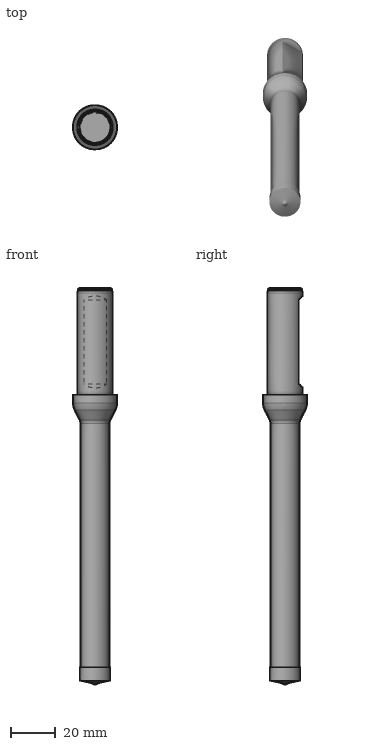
import cadquery as cq
import math

overall_length = 178.0
point_height = 2.0
head_top = 7.8
transition_bottom = 117.3
collar_bottom = 126.4
collar_top = 130.1

head_radius = 13.9 / 2
stem_radius = 13.2 / 2
collar_radius = 20.0 / 2
shank_radius = 16.0 / 2

pilot_radius = 2.8 / 2
pilot_height = 0.7

taper_angle = math.radians(27)
lower_arc_radius = 3.2

end_radius = 7.0
bevel_radius = 7.7
bevel_height = 0.7
land_bottom_depth = 1.5
shoulder_height = 2.3

flat_offset = 6.2
flat_bottom = 135.0
flat_top = 172.7


def make_head():
    """Drill head: a short cylinder with a shallow point and a pilot cone."""
    profile = (
        cq.Workplane("XZ")
        .moveTo(0, 0)
        .lineTo(pilot_radius, pilot_height)
        .lineTo(head_radius, point_height)
        .lineTo(head_radius, head_top)
        .lineTo(0, head_top)
        .close()
    )
    return profile.revolve(360, (0, 0, 0), (0, 1, 0))


def make_holder_blank():
    """Stem, transition, collar and round shank in one turned profile."""
    arc_width_ratio = 1 - math.cos(taper_angle)
    arc_height_ratio = math.sin(taper_angle)
    radius_drop = collar_radius - stem_radius
    transition_height = collar_bottom - transition_bottom
    slope = math.tan(taper_angle)
    arc_radius_sum = (transition_height * slope - radius_drop) / (arc_height_ratio * slope - arc_width_ratio)
    upper_arc_radius = arc_radius_sum - lower_arc_radius

    taper_bottom = (
        stem_radius + lower_arc_radius * arc_width_ratio,
        transition_bottom + lower_arc_radius * arc_height_ratio,
    )
    taper_top = (
        collar_radius - upper_arc_radius * arc_width_ratio,
        collar_bottom - upper_arc_radius * arc_height_ratio,
    )
    profile = (
        cq.Workplane("XZ")
        .moveTo(0, head_top)
        .lineTo(stem_radius, head_top)
        .lineTo(stem_radius, transition_bottom)
        .tangentArcPoint(taper_bottom, relative=False)
        .lineTo(*taper_top)
        .tangentArcPoint((collar_radius, collar_bottom), relative=False)
        .lineTo(collar_radius, collar_top)
        .lineTo(shank_radius, collar_top)
        .lineTo(shank_radius, overall_length - shoulder_height)
        .tangentArcPoint((bevel_radius, overall_length - land_bottom_depth), relative=False)
        .lineTo(bevel_radius, overall_length - bevel_height)
        .lineTo(end_radius, overall_length)
        .lineTo(0, overall_length)
        .close()
    )
    return profile.revolve(360, (0, 0, 0), (0, 1, 0))


def make_flat_cutter():
    """Trapezoidal bar that cuts the clamping flat and its sloped run-outs."""
    cut_depth = collar_radius - flat_offset
    return (
        cq.Workplane("YZ")
        .moveTo(flat_offset, flat_bottom)
        .lineTo(flat_offset + cut_depth, flat_bottom - cut_depth)
        .lineTo(flat_offset + cut_depth, flat_top + cut_depth)
        .lineTo(flat_offset, flat_top)
        .close()
        .extrude(shank_radius, both=True)
    )


head = make_head()
holder = make_holder_blank().cut(make_flat_cutter())

result = cq.Compound.makeCompound([head.val(), holder.val()])